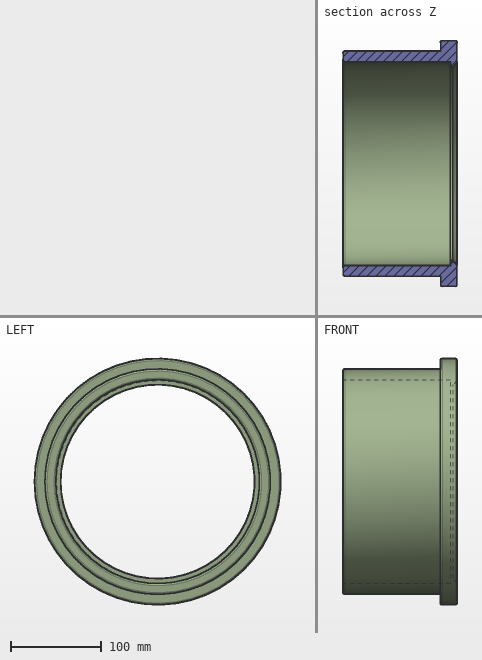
import cadquery as cq

total_length = 126.0
flange_diameter = 272.0
flange_thickness = 18.5
sleeve_diameter = 249.0
bore_diameter = 225.0
lip_diameter = 213.8
lip_thickness = 7.3
edge_round = 2.2
lip_chamfer = 5.0

x_start = -total_length / 2
x_end = total_length / 2


def disc(diameter, x_from, x_to):
    """Solid cylinder along X, between two positions."""
    plane = cq.Workplane("YZ", origin=(x_from, 0, 0))
    return plane.circle(diameter / 2).extrude(x_to - x_from)


sleeve = disc(sleeve_diameter, x_start, x_end)
flange = disc(flange_diameter, x_end - flange_thickness, x_end)
flange = flange.edges().fillet(edge_round)

bore = disc(bore_diameter, x_start, x_end - lip_thickness)
lip_opening = disc(lip_diameter, x_start, x_end)
body = sleeve.union(flange).cut(bore).cut(lip_opening)

body = body.faces("<X").edges().fillet(edge_round)

result = body.faces(">X").edges(cq.selectors.RadiusNthSelector(0)).chamfer(lip_chamfer)